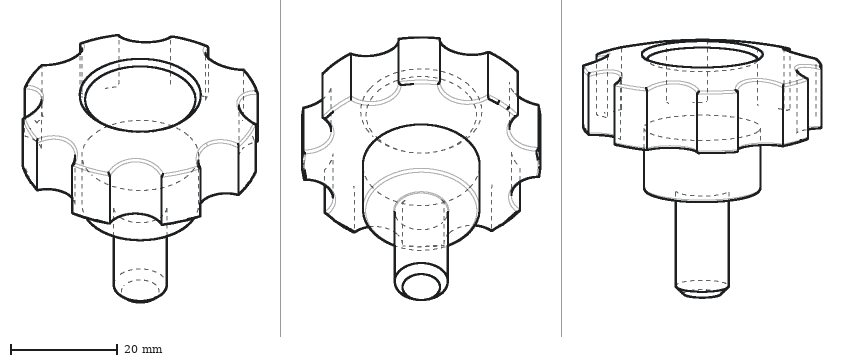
import cadquery as cq
import math

total_height = 46.2
hub_bottom = 20.0
knob_bottom = 32.0

stud_radius = 10.0 / 2
tip_chamfer = 1.5
root_fillet = 0.2

hub_radius = 22.0 / 2

knob_radius = 22.5
dome_radius = 84.05
recess_floor_radius = 10.4
recess_depth = 1.0
rim_radius = recess_floor_radius + recess_depth

notch_count = 8
notch_radius = 5.2
notch_inner_reach = 18.6

edge_radius = 0.5


def dome_height(radius):
    """Height of the domed top at a distance from the axis; the recess rim is its highest edge."""
    dome_center = total_height - math.sqrt(dome_radius**2 - rim_radius**2)
    return dome_center + math.sqrt(dome_radius**2 - radius**2)


def revolve_about_z(profile):
    """Turn a closed half-profile in the XZ plane into a solid of revolution."""
    return profile.revolve(360, (0, 0, 0), (0, 1, 0))


def make_head():
    """Domed head with a conical-walled recess, scalloped by grip notches, outer edges rounded."""
    middle_radius = (rim_radius + knob_radius) / 2
    recess_floor = total_height - recess_depth
    profile = (
        cq.Workplane("XZ")
        .moveTo(0, knob_bottom)
        .lineTo(knob_radius, knob_bottom)
        .lineTo(knob_radius, dome_height(knob_radius))
        .threePointArc((middle_radius, dome_height(middle_radius)), (rim_radius, total_height))
        .lineTo(recess_floor_radius, recess_floor)
        .lineTo(0, recess_floor)
        .close()
    )
    notches = (
        cq.Workplane("XY")
        .workplane(offset=knob_bottom)
        .polarArray(notch_inner_reach + notch_radius, 0, 360, notch_count)
        .circle(notch_radius)
        .extrude(total_height - knob_bottom)
    )
    head = revolve_about_z(profile).cut(notches)

    bottom_outline = head.faces("<Z").edges()
    dome_outline = head.faces("%SPHERE").edges("not >Z")
    return head.newObject(bottom_outline.vals() + dome_outline.vals()).fillet(edge_radius)


def make_hub():
    """Cylindrical hub below the head with a rounded lower edge."""
    hub_height = knob_bottom - hub_bottom
    hub = cq.Workplane("XY").workplane(offset=hub_bottom).circle(hub_radius).extrude(hub_height)
    return hub.faces("<Z").edges().fillet(edge_radius)


def make_stud():
    """Plain stud with a chamfered tip and a small fillet where it meets the hub."""
    arc_offset = root_fillet * (1 - math.sqrt(0.5))
    profile = (
        cq.Workplane("XZ")
        .lineTo(stud_radius - tip_chamfer, 0)
        .lineTo(stud_radius, tip_chamfer)
        .lineTo(stud_radius, hub_bottom - root_fillet)
        .threePointArc(
            (stud_radius + arc_offset, hub_bottom - arc_offset),
            (stud_radius + root_fillet, hub_bottom),
        )
        .lineTo(0, hub_bottom)
        .close()
    )
    return revolve_about_z(profile)


result = make_head().union(make_hub()).union(make_stud())